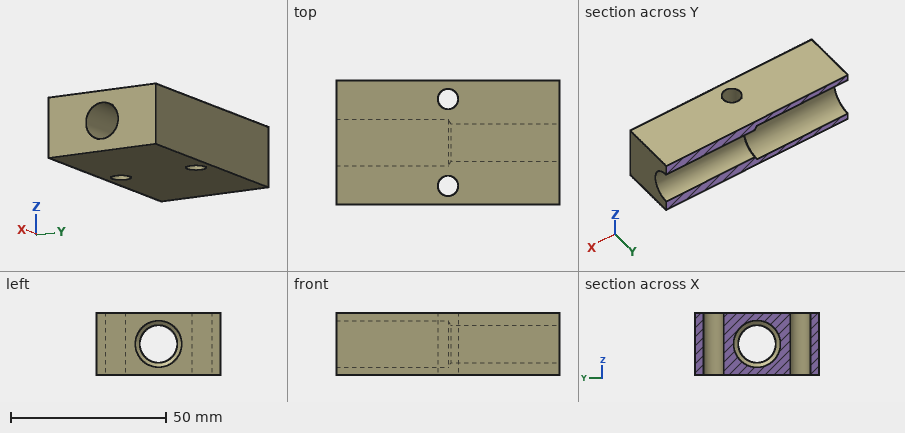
import cadquery as cq
import math

length = 72.0
width = 40.0
height = 20.0

bore_diameter = 12.0
wide_bore_diameter = 15.0
wide_bore_depth = length / 2
drill_point_angle = 120.0

mounting_diameter = 6.5
mounting_spacing = 28.0


def make_block():
    """Plain block centred on the origin."""
    return cq.Workplane("XY").box(length, width, height)


def make_stepped_bore():
    """Solid of the bore along X, its two diameters joined by a drill-point cone."""
    bore_radius = bore_diameter / 2
    wide_radius = wide_bore_diameter / 2
    cone_length = (wide_radius - bore_radius) / math.tan(math.radians(drill_point_angle / 2))
    start = -length / 2
    end = length / 2
    cone_start = start + wide_bore_depth
    return (
        cq.Workplane("XY")
        .moveTo(start, 0)
        .lineTo(start, wide_radius)
        .lineTo(cone_start, wide_radius)
        .lineTo(cone_start + cone_length, bore_radius)
        .lineTo(end, bore_radius)
        .lineTo(end, 0)
        .close()
        .revolve(360, (0, 0, 0), (1, 0, 0))
    )


def cut_mounting_holes(body):
    """Pair of vertical through holes, one on each side of the bore."""
    hole_centres = [(0, -mounting_spacing / 2), (0, mounting_spacing / 2)]
    return (
        body.faces(">Z")
        .workplane(centerOption="CenterOfBoundBox")
        .pushPoints(hole_centres)
        .hole(mounting_diameter)
    )


result = cut_mounting_holes(make_block().cut(make_stepped_bore()))